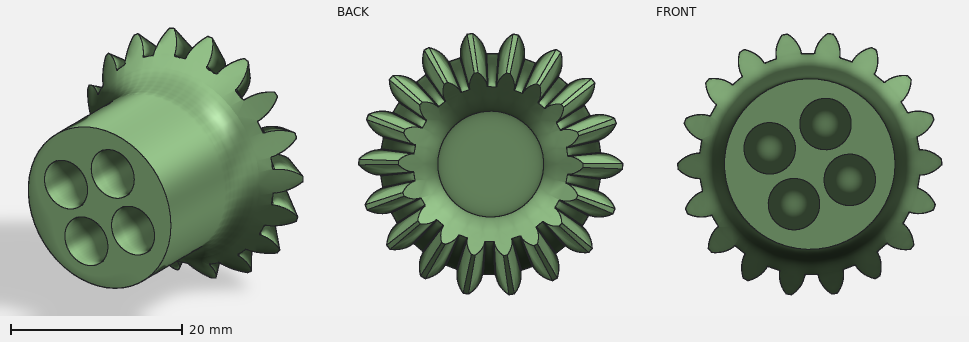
import cadquery as cq
import math

TOTAL_LENGTH = 23.8

HUB_RADIUS = 9.95
HUB_LENGTH = 11.95
FLARE_END_RADIUS = 11.7

TOOTH_COUNT = 18
TOOTH_PHASE = 0.9
TIP_RADIUS = 15.4
TIP_Y = 19.85
ROOT_RADIUS = 12.9
ROOT_Y = 17.37
SMALL_TIP_RADIUS = 10.78

TIP_HALF_ANGLE = 1.2
MID_HALF_ANGLE = 5.0
FOOT_HALF_ANGLE = 6.6
ROOT_HALF_ANGLE = 7.1
MID_FLANK_RADIUS = 14.17
FOOT_RADIUS = 13.05
FILLET_MID_RADIUS = 12.95
FILLET_MID_HALF_ANGLE = 6.7
GAP_OVERRUN = 0.3

DISH_FLOOR_DIAMETER = 12.35

HOLE_COUNT = 4
HOLE_DIAMETER = 6.0
HOLE_CIRCLE_RADIUS = 5.02
HOLE_PHASE = 68.5
HOLE_DEPTH = 10.0

TIP_CONE_SLOPE = (TOTAL_LENGTH - TIP_Y) / (TIP_RADIUS - SMALL_TIP_RADIUS)
APEX_Y = TIP_Y + TIP_RADIUS * TIP_CONE_SLOPE
BACK_CONE_SLOPE = (TIP_Y - ROOT_Y) / (TIP_RADIUS - ROOT_RADIUS)


def back_cone_y(radius):
    return ROOT_Y + (radius - ROOT_RADIUS) * BACK_CONE_SLOPE


def gear_blank():
    """Revolve hub, flare, back cone, tip cone and inner dish in one profile."""
    flare_end_y = back_cone_y(FLARE_END_RADIUS)
    floor_radius = DISH_FLOOR_DIAMETER / 2
    floor_y = TOTAL_LENGTH - (SMALL_TIP_RADIUS - floor_radius) * BACK_CONE_SLOPE
    return (
        cq.Workplane("XY")
        .lineTo(HUB_RADIUS, 0)
        .lineTo(HUB_RADIUS, HUB_LENGTH)
        .tangentArcPoint((FLARE_END_RADIUS, flare_end_y), relative=False)
        .lineTo(TIP_RADIUS, TIP_Y)
        .lineTo(SMALL_TIP_RADIUS, TOTAL_LENGTH)
        .lineTo(floor_radius, floor_y)
        .lineTo(0, floor_y)
        .close()
        .revolve(360, (0, 0, 0), (0, 1, 0))
    )


def gap_section(y):
    """Outline of one tooth gap in the plane at y, centred on the +X direction."""
    half_pitch = 180 / TOOTH_COUNT

    def point(radius, tooth_half_angle, side):
        section_radius = radius * (APEX_Y - y) / (APEX_Y - back_cone_y(radius))
        angle = math.radians(side * (half_pitch - tooth_half_angle))
        return cq.Vector(section_radius * math.cos(angle), y, -section_radius * math.sin(angle))

    def flank(side):
        outer = point(TIP_RADIUS + GAP_OVERRUN, TIP_HALF_ANGLE, side)
        tip = point(TIP_RADIUS, TIP_HALF_ANGLE, side)
        middle = point(MID_FLANK_RADIUS, MID_HALF_ANGLE, side)
        foot = point(FOOT_RADIUS, FOOT_HALF_ANGLE, side)
        fillet_middle = point(FILLET_MID_RADIUS, FILLET_MID_HALF_ANGLE, side)
        root = point(ROOT_RADIUS, ROOT_HALF_ANGLE, side)
        return [
            cq.Edge.makeLine(outer, tip),
            cq.Edge.makeThreePointArc(tip, middle, foot),
            cq.Edge.makeThreePointArc(foot, fillet_middle, root),
        ]

    left, right = flank(1), flank(-1)
    bottom_middle = point(ROOT_RADIUS, half_pitch, 1)
    bottom = cq.Edge.makeThreePointArc(left[-1].endPoint(), bottom_middle, right[-1].endPoint())
    outside_middle = point(TIP_RADIUS + GAP_OVERRUN, half_pitch, 1)
    outside = cq.Edge.makeThreePointArc(
        right[0].startPoint(), outside_middle, left[0].startPoint()
    )
    return cq.Wire.assembleEdges(left + [bottom] + right[::-1] + [outside])


def cut_tooth_gaps(body):
    sections = [gap_section(ROOT_Y - GAP_OVERRUN), gap_section(TOTAL_LENGTH + GAP_OVERRUN)]
    gap = cq.Workplane(cq.Solid.makeLoft(sections, True))
    pitch = 360 / TOOTH_COUNT
    for i in range(TOOTH_COUNT):
        turn = TOOTH_PHASE + (i + 0.5) * pitch
        body = body.cut(gap.rotate((0, 0, 0), (0, 1, 0), -turn))
    return body


def hub_holes():
    return (
        cq.Workplane("XZ")
        .polarArray(HOLE_CIRCLE_RADIUS, HOLE_PHASE, 360, HOLE_COUNT)
        .circle(HOLE_DIAMETER / 2)
        .extrude(-HOLE_DEPTH)
    )


result = cut_tooth_gaps(gear_blank()).cut(hub_holes())